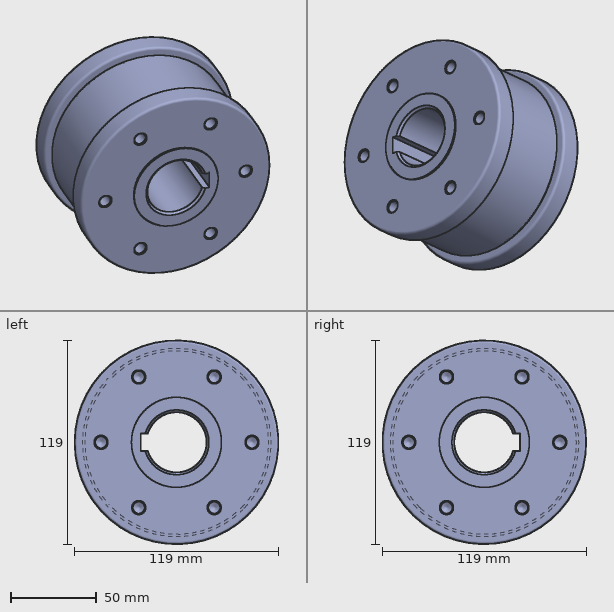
import cadquery as cq
import math

drum_width = 45.0
flange_width = 13.5
hub_step = 1.1
flange_span = drum_width + 2 * flange_width
hub_span = flange_span + 2 * hub_step

flange_radius = 59.5
drum_radius = 55.0
hub_radius = 26.3
bore_radius = 17.5

flange_fillet = 1.5
drum_fillet = 1.4
bore_chamfer = 1.4

key_width = 10.0
key_reach = 20.8

hole_count = 6
hole_circle_radius = 44
hole_radius = 3.5
hole_depth = 17.8
hole_mouth_chamfer = 0.6
drill_tip_angle = 118


def disc(radius, width):
    """Solid cylinder on the X axis, centred on the origin."""
    return cq.Workplane("YZ", origin=(-width / 2, 0, 0)).circle(radius).extrude(width)


def flange(side):
    """Rim with rounded edges; side is -1 or +1 along X."""
    centre_x = side * (drum_width + flange_width) / 2
    rim = disc(flange_radius, flange_width).edges().fillet(flange_fillet)
    return rim.translate((centre_x, 0, 0))


def bore():
    """Through bore with a chamfer at each mouth."""
    half = hub_span / 2
    mouth_radius = bore_radius + bore_chamfer
    profile = [
        (-half, 0),
        (-half, mouth_radius),
        (-half + bore_chamfer, bore_radius),
        (half - bore_chamfer, bore_radius),
        (half, mouth_radius),
        (half, 0),
    ]
    return cq.Workplane("XY").polyline(profile).close().revolve(360, (0, 0, 0), (1, 0, 0))


def keyway():
    """Straight slot along the whole bore."""
    return cq.Workplane("XY").box(hub_span, key_reach, key_width).translate((0, key_reach / 2, 0))


def end_hole():
    """Blind hole with a chamfered mouth and a conical bottom, entering the -X flange face."""
    face_x = -flange_span / 2
    tip_length = hole_radius / math.tan(math.radians(drill_tip_angle / 2))
    profile = [
        (face_x, 0),
        (face_x, hole_radius + hole_mouth_chamfer),
        (face_x + hole_mouth_chamfer, hole_radius),
        (face_x + hole_depth, hole_radius),
        (face_x + hole_depth + tip_length, 0),
    ]
    hole = cq.Workplane("XY").polyline(profile).close().revolve(360, (0, 0, 0), (1, 0, 0))
    return hole.translate((0, hole_circle_radius, 0))


def all_end_holes():
    """Ring of holes in the -X flange face and its mirror image in the +X face."""
    ring = cq.Workplane("XY")
    for index in range(hole_count):
        ring = ring.add(end_hole().rotate((0, 0, 0), (1, 0, 0), index * 360 / hole_count))
    ring = ring.combine()
    return ring.union(ring.mirror("YZ"))


drum = disc(drum_radius, drum_width).edges().fillet(drum_fillet)
hub = disc(hub_radius, hub_span)
body = drum.union(hub).union(flange(-1)).union(flange(1))

result = body.cut(bore()).cut(keyway()).cut(all_end_holes())